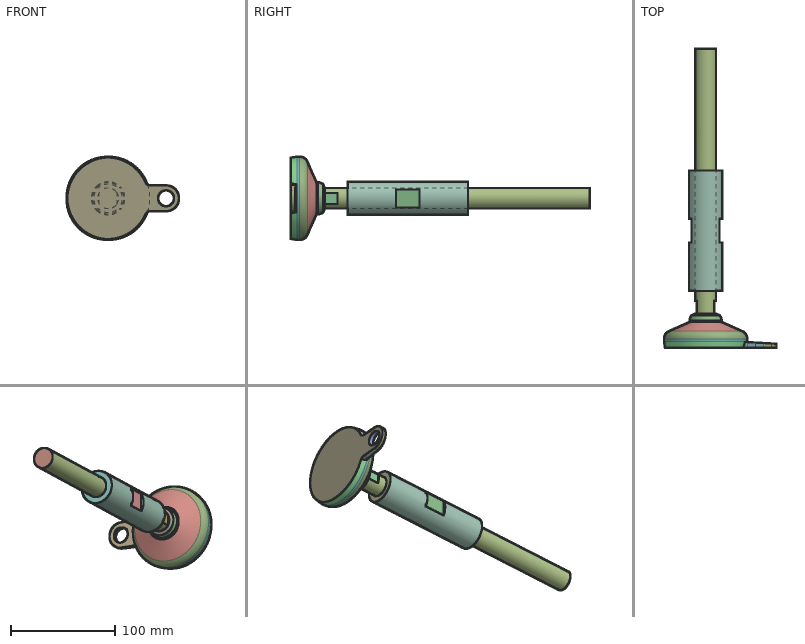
import cadquery as cq
import math


total_length = 286.5
spindle_radius = 20 / 2
spindle_flat_width = 17.0
spindle_flat_end = 45.0

sleeve_radius = 32 / 2
sleeve_start = 54.5
sleeve_length = 115.5
sleeve_flat_width = 27.0
sleeve_flat_length = 22.5

rim_radius = 40.0
base_radius = 39.0
rim_bottom = 6.0
rim_top = 8.7
shoulder_radius = 8.0
cone_angle = 24.0
cone_top_radius = 16.0

collar_radius = 15.6
collar_bottom = 26.0
collar_top_radius = 13.6
collar_top = 31.2
collar_bulge = 0.4
groove_radius = 15.0
neck_top = 32.8

lug_radius = 25 / 2
lug_center_x = 55.5
lug_hole_diameter = 15.0
lug_tip_height = 4.1
lug_slope = 3.2
lug_corner_radius = 5.0


def wrench_flats(start, length, across, radius):
    """Two blocks on the +X and -X sides that cut a pair of wrench flats into a round bar."""
    depth = radius - across / 2
    return (
        cq.Workplane("XY")
        .pushPoints([(side * (across + depth) / 2, start + length / 2) for side in (-1, 1)])
        .box(depth, length, 2 * radius)
    )


def make_round_body():
    """Foot, collar and spindle as one half section revolved about Y."""
    slope = math.radians(cone_angle)
    shoulder_center = cq.Vector(rim_radius - shoulder_radius, rim_top)
    shoulder_end_angle = math.pi / 2 - slope

    def shoulder_point(angle):
        return shoulder_center + cq.Vector(math.cos(angle), math.sin(angle)) * shoulder_radius

    cone_start = shoulder_point(shoulder_end_angle)
    cone_top = cone_start.y + (cone_start.x - cone_top_radius) * math.tan(slope)
    return (
        cq.Workplane("XY")
        .lineTo(base_radius, 0)
        .lineTo(rim_radius, rim_bottom)
        .lineTo(rim_radius, rim_top)
        .threePointArc(shoulder_point(shoulder_end_angle / 2), cone_start)
        .lineTo(cone_top_radius, cone_top)
        .lineTo(groove_radius, cone_top)
        .lineTo(groove_radius, collar_bottom)
        .lineTo(collar_radius, collar_bottom)
        .sagittaArc((collar_top_radius, collar_top), -collar_bulge)
        .lineTo(spindle_radius, neck_top)
        .lineTo(spindle_radius, total_length)
        .lineTo(0, total_length)
        .close()
        .revolve(360, (0, 0), (0, 1))
    )


def make_lug():
    """Flat lug with a sloping top, a round tip and rounded corners against the foot."""
    length = lug_center_x + lug_radius
    fall = math.tan(math.radians(lug_slope))
    corner_distance = base_radius + lug_corner_radius
    corner_z = lug_radius + lug_corner_radius
    corner_x = math.sqrt(corner_distance**2 - corner_z**2)
    touch_x = corner_x * base_radius / corner_distance
    touch_z = corner_z * base_radius / corner_distance
    outline = (
        cq.Workplane("XZ")
        .moveTo(lug_center_x, lug_radius)
        .threePointArc((length, 0), (lug_center_x, -lug_radius))
        .lineTo(corner_x, -lug_radius)
        .radiusArc((touch_x, -touch_z), -lug_corner_radius)
        .lineTo(0, 0)
        .lineTo(touch_x, touch_z)
        .radiusArc((corner_x, lug_radius), -lug_corner_radius)
        .close()
        .extrude(-rim_bottom)
    )
    side = (
        cq.Workplane("XY")
        .lineTo(length, 0)
        .lineTo(length, lug_tip_height)
        .lineTo(0, lug_tip_height + length * fall)
        .close()
        .extrude(rim_radius, both=True)
    )
    hole = cq.Workplane("XZ").center(lug_center_x, 0).circle(lug_hole_diameter / 2).extrude(-rim_bottom)
    return outline.intersect(side).cut(hole)


def make_foot():
    """Foot with its lug and the spindle with its wrench flats, one solid."""
    flat_length = spindle_flat_end - neck_top
    flats = wrench_flats(neck_top, flat_length, spindle_flat_width, spindle_radius)
    return make_round_body().cut(flats).union(make_lug())


def make_sleeve():
    """Tube that fits the spindle, with wrench flats halfway along it."""
    tube = (
        cq.Workplane("XZ", origin=(0, sleeve_start, 0))
        .circle(sleeve_radius)
        .circle(spindle_radius)
        .extrude(-sleeve_length)
    )
    flat_start = sleeve_start + (sleeve_length - sleeve_flat_length) / 2
    return tube.cut(wrench_flats(flat_start, sleeve_flat_length, sleeve_flat_width, sleeve_radius))


foot = make_foot()
sleeve = make_sleeve()
result = cq.Compound.makeCompound([foot.val(), sleeve.val()])